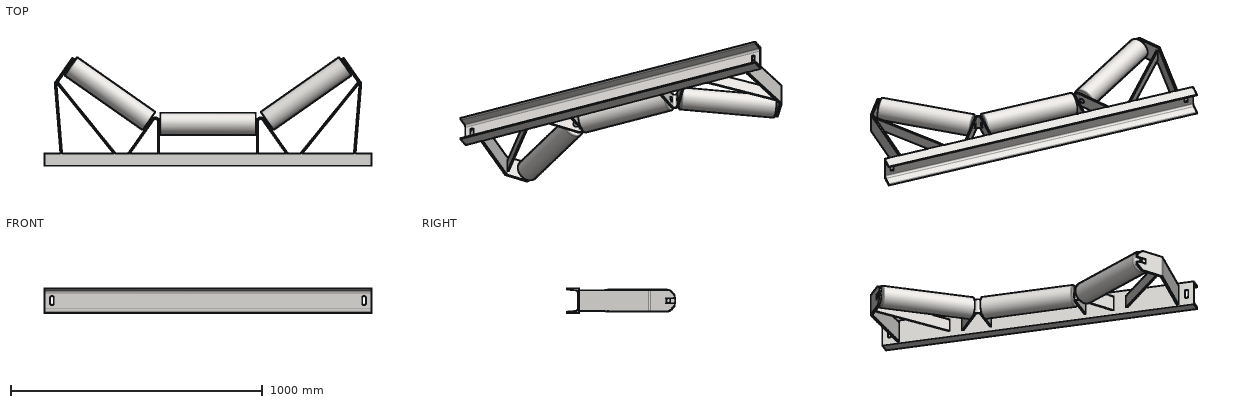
import cadquery as cq
import math


base_length = 1300.0
channel_height = 100.0
flange_width = 50.0
web_thickness = 6.0
flange_thickness = 8.5
flange_slope = 0.08
root_radius = 8.5
toe_radius = 4.5
slot_inset = 30.0
slot_width = 14.0
slot_length = 36.0

trough_angle = 35.0
roller_diameter = 89.0
roller_length = 380.0
roller_edge_radius = 3.0
shaft_diameter = 20.0
center_gap = 4.0
wing_inner_gap = 6.0
wing_outer_gap = 5.5
center_roller_y = 167.0
wing_roller_x = -390.0
wing_top_y = 431.77

outer_thickness = 8.0
outer_width = 84.0
outer_bend_radius = 4.0
inner_thickness = 6.0
inner_width = 60.0
inner_bend_radius = 9.0
tip_chamfer_across = 20.0
tip_chamfer_along = 25.0
tip_beyond_axis = 31.0
elbow_below_axis = 91.0
outer_foot_x = -583.0
strut_thickness = 6.0
strut_width = 50.0
strut_head_above_elbow = 8.0
strut_foot_x = -371.0

cos_trough = math.cos(math.radians(trough_angle))
sin_trough = math.sin(math.radians(trough_angle))
axis_outward = cq.Vector(-cos_trough, sin_trough, 0)
plate_upward = cq.Vector(sin_trough, cos_trough, 0)

outer_offset = roller_length / 2 + wing_outer_gap + outer_thickness / 2
inner_offset = roller_length / 2 + wing_inner_gap + inner_thickness / 2
wing_rise = (
    (roller_diameter / 2 - roller_edge_radius) * cos_trough
    + (roller_length / 2 - roller_edge_radius) * sin_trough
    + roller_edge_radius
)
wing_center = cq.Vector(wing_roller_x, wing_top_y - wing_rise, 0)
outer_seat = wing_center + axis_outward * outer_offset
outer_elbow = outer_seat - plate_upward * elbow_below_axis
inner_seat = wing_center - axis_outward * inner_offset


def make_channel():
    """Channel with tapered flanges toward -Y and an upright mounting slot near each end."""
    half_height = channel_height / 2
    root_inset = flange_thickness + (flange_width / 2 - web_thickness) * flange_slope
    toe_inset = flange_thickness - flange_width / 2 * flange_slope
    web_face_y = flange_width - web_thickness
    outline = [
        (0, half_height),
        (flange_width, half_height),
        (flange_width, -half_height),
        (0, -half_height),
        (0, toe_inset - half_height),
        (web_face_y, root_inset - half_height),
        (web_face_y, half_height - root_inset),
        (0, half_height - toe_inset),
    ]
    channel = cq.Workplane("YZ").polyline(outline).close().extrude(base_length / 2, both=True)
    for corner_y, inset, radius in (
        (web_face_y, root_inset, root_radius),
        (0, toe_inset, toe_radius),
    ):
        for side in (-1, 1):
            corner = cq.selectors.NearestToPointSelector((0, corner_y, side * (half_height - inset)))
            channel = channel.edges("|X").edges(corner).fillet(radius)
    slot_x = base_length / 2 - slot_inset
    slots = (
        cq.Workplane("XZ")
        .pushPoints([(-slot_x, 0), (slot_x, 0)])
        .slot2D(slot_length, slot_width, 90)
        .extrude(-flange_width)
    )
    return channel.cut(slots)


def make_roller(center, direction, start_reach, end_reach):
    """Roller on a shaft that runs past its end faces; the roller is centred on a point."""
    tube = cq.Workplane("XY").circle(roller_diameter / 2).extrude(roller_length)
    tube = tube.edges().fillet(roller_edge_radius)
    shaft = (
        cq.Workplane("XY", origin=(0, 0, -start_reach))
        .circle(shaft_diameter / 2)
        .extrude(start_reach + roller_length + end_reach)
    )
    start_face = center - direction * (roller_length / 2)
    place = cq.Location(cq.Plane(start_face, (0, 1, 0), direction))
    return cq.Workplane(tube.union(shaft).val().moved(place))


def bent_plate(start, bend, end, thickness, width):
    """Plate following the middle line start-bend-end, with a sharp mitred bend."""
    half = thickness / 2
    z_axis = cq.Vector(0, 0, 1)
    start_normal = (bend - start).normalized().cross(z_axis)
    end_normal = (end - bend).normalized().cross(z_axis)
    miter = (start_normal + end_normal) * (half / (1 + start_normal.dot(end_normal)))
    outline = [
        start + start_normal * half,
        bend + miter,
        end + end_normal * half,
        end - end_normal * half,
        bend - miter,
        start - start_normal * half,
    ]
    return (
        cq.Workplane("XY")
        .polyline([(point.x, point.y) for point in outline])
        .close()
        .extrude(width / 2, both=True)
    )


def trim_at_web(body):
    """Remove everything below the outer face of the channel web."""
    below_web = cq.Workplane("XY").box(base_length, flange_width, channel_height)
    return body.cut(below_web.translate((0, flange_width / 2, 0)))


def make_outer_bracket():
    """Leaning leg with an elbow and a chamfered arm slotted for the wing shaft."""
    foot = cq.Vector(outer_foot_x, flange_width, 0)
    below_foot = foot + (foot - outer_elbow).normalized() * outer_thickness
    tip = outer_seat + plate_upward * tip_beyond_axis
    bracket = trim_at_web(bent_plate(below_foot, outer_elbow, tip, outer_thickness, outer_width))
    inside_elbow = cq.selectors.NearestToPointSelector(outer_elbow + cq.Vector(outer_thickness, 0, 0))
    bracket = bracket.edges("|Z").edges(inside_elbow).fillet(outer_bend_radius)
    bracket = bracket.edges("|Z").edges("<X").fillet(outer_bend_radius + outer_thickness)
    tip_plane = cq.Plane(tip, plate_upward, axis_outward)
    half_width = outer_width / 2
    corner = (
        cq.Workplane(tip_plane)
        .moveTo(0, half_width)
        .lineTo(0, half_width - tip_chamfer_across)
        .lineTo(-tip_chamfer_along, half_width)
        .close()
        .extrude(outer_thickness, both=True)
    )
    slot_depth = tip_beyond_axis + shaft_diameter / 2
    slot = (
        cq.Workplane(tip_plane)
        .rect(2 * slot_depth, shaft_diameter)
        .extrude(outer_thickness, both=True)
    )
    return bracket.cut(corner).cut(corner.mirror("XY")).cut(slot)


def make_strut(outer_bracket):
    """Diagonal plate from the channel web to the elbow of the outer bracket."""
    foot = cq.Vector(strut_foot_x, flange_width, 0)
    head = outer_elbow + plate_upward * strut_head_above_elbow
    run = foot - head
    length = run.Length + strut_thickness
    plane = cq.Plane(head, run, (0, 0, 1))
    strut = (
        cq.Workplane(plane)
        .center(length / 2, 0)
        .rect(length, strut_thickness)
        .extrude(strut_width / 2, both=True)
    )
    return trim_at_web(strut).cut(outer_bracket)


def make_inner_bracket():
    """Leaning and upright legs joined by a round bend,
    before the shaft holes are cut.
    """
    upright_x = -roller_length / 2 - center_gap - inner_thickness / 2
    apex_y = inner_seat.y + (upright_x - inner_seat.x) * cos_trough / sin_trough
    apex = cq.Vector(upright_x, apex_y, 0)
    lean_foot = apex - plate_upward * ((apex_y - flange_width / 2) / cos_trough)
    upright_foot = cq.Vector(upright_x, flange_width / 2, 0)
    bracket = bent_plate(lean_foot, apex, upright_foot, inner_thickness, inner_width)
    bracket = bracket.edges("|Z").edges(">>Y[-2]").fillet(inner_bend_radius)
    bracket = bracket.edges("|Z").edges(">Y").fillet(inner_bend_radius + inner_thickness)
    return trim_at_web(bracket)


center_reach = center_gap + inner_thickness
center_roller = make_roller(
    cq.Vector(0, center_roller_y, 0), cq.Vector(1, 0, 0), center_reach, center_reach
)
left_roller = make_roller(
    wing_center, axis_outward, wing_inner_gap + inner_thickness, wing_outer_gap + outer_thickness
)
left_outer = make_outer_bracket()
left_strut = make_strut(left_outer)
left_inner = make_inner_bracket().cut(left_roller).cut(center_roller)

bodies = [make_channel().val(), center_roller.val()]
for left_body in (left_roller, left_outer, left_strut, left_inner):
    bodies.append(left_body.val())
    bodies.append(left_body.mirror("YZ").val())

result = cq.Compound.makeCompound(bodies)